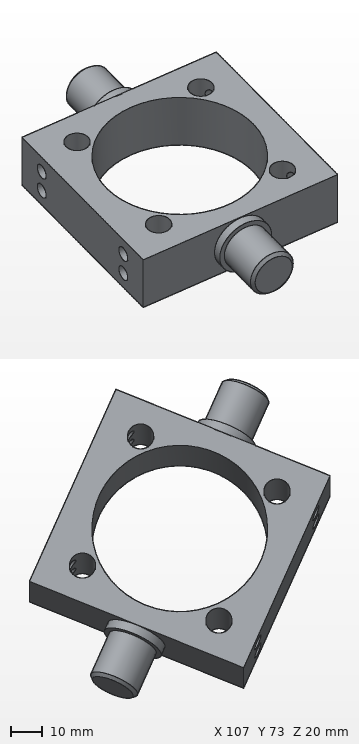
import cadquery as cq

total_length = 107.0
block_length = 69.1
block_width = 73.0
block_height = 20.0

bore_diameter = 55.0
bolt_hole_diameter = 8.2
bolt_hole_spacing = 46.4

cross_hole_diameter = 5.0
cross_hole_spacing = 8.0
cross_hole_depth = (block_width - bolt_hole_spacing) / 2

collar_diameter = 19.5
collar_thickness = 3.0
pin_diameter = 16.0
pin_chamfer = 1.1
pin_length = (total_length - block_length) / 2 - collar_thickness


def make_trunnion(side):
    """Collar and chamfered pin on the X face given by side (+1 or -1)."""
    face = cq.Plane(
        origin=(side * block_length / 2, 0, 0), xDir=(0, 1, 0), normal=(side, 0, 0)
    )
    collar = cq.Workplane(face).circle(collar_diameter / 2).extrude(collar_thickness)
    pin = (
        cq.Workplane(face)
        .workplane(offset=collar_thickness)
        .circle(pin_diameter / 2)
        .extrude(pin_length)
    )
    end_face = ">X" if side > 0 else "<X"
    pin = pin.faces(end_face).chamfer(pin_chamfer)
    return collar.union(pin)


def make_cross_holes(side):
    """Four blind holes running inward from the Y face given by side."""
    face = cq.Plane(
        origin=(0, side * block_width / 2, 0), xDir=(1, 0, 0), normal=(0, -side, 0)
    )
    return (
        cq.Workplane(face)
        .rarray(bolt_hole_spacing, cross_hole_spacing, 2, 2)
        .circle(cross_hole_diameter / 2)
        .extrude(cross_hole_depth)
    )


block = (
    cq.Workplane("XY")
    .box(block_length, block_width, block_height)
    .faces(">Z")
    .workplane()
    .hole(bore_diameter)
    .faces(">Z")
    .workplane()
    .rarray(bolt_hole_spacing, bolt_hole_spacing, 2, 2)
    .hole(bolt_hole_diameter)
)

result = block
for side in (-1, 1):
    result = result.union(make_trunnion(side))
    result = result.cut(make_cross_holes(side))